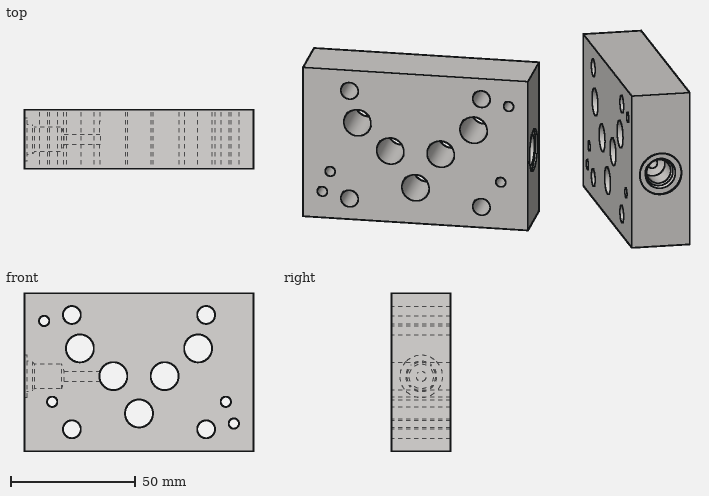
import cadquery as cq

LENGTH = 92.1
THICKNESS = 23.85
HEIGHT = 63.5

BOLT_DIAMETER = 7.1
BOLT_HALF_SPACING = 27.0
BOLT_TOP_Z = 23.0
BOLT_BOTTOM_Z = -22.9

FLOW_DIAMETER = 11.1
OUTER_FLOW_X = 23.8
OUTER_FLOW_Z = 9.6
INNER_FLOW_X = 10.3
INNER_FLOW_Z = -1.6
LOWER_FLOW_Z = -16.6

PIN_DIAMETER = 4.05
PIN_POSITIONS = [(-38.1, 20.6), (-34.9, -11.9), (34.9, -11.9), (38.1, -20.6)]

SPOTFACE_DIAMETER = 17.1
SPOTFACE_DEPTH = 0.8
SEAT_DIAMETER = 12.3
SEAT_BOTTOM_DIAMETER = 11.4
SEAT_DEPTH = 2.4
BORE_DIAMETER = 9.85
LEAD_IN_DEPTH = 0.7
BORE_DEPTH = 14.0
BORE_TIP_DEPTH = 1.0
FEED_DIAMETER = 4.05


def through_holes(points, diameter):
    """Cylinders along Y that cross the full thickness at (x, z) points."""
    return (
        cq.Workplane("XZ")
        .pushPoints(points)
        .circle(diameter / 2)
        .extrude(THICKNESS / 2, both=True)
    )


def side_port():
    """Revolved stepped port, from the -X face to the left inner flow passage."""
    face_x = -LENGTH / 2
    seat_start = face_x + SPOTFACE_DEPTH
    seat_end = seat_start + SEAT_DEPTH
    bore_start = seat_end + LEAD_IN_DEPTH
    bore_end = seat_start + BORE_DEPTH
    profile = [
        (face_x, 0),
        (face_x, SPOTFACE_DIAMETER / 2),
        (seat_start, SPOTFACE_DIAMETER / 2),
        (seat_start, SEAT_DIAMETER / 2),
        (seat_end, SEAT_BOTTOM_DIAMETER / 2),
        (bore_start, BORE_DIAMETER / 2),
        (bore_end, BORE_DIAMETER / 2),
        (bore_end + BORE_TIP_DEPTH, FEED_DIAMETER / 2),
        (-INNER_FLOW_X, FEED_DIAMETER / 2),
        (-INNER_FLOW_X, 0),
    ]
    port = cq.Workplane("XZ").polyline(profile).close().revolve(360, (0, 0), (1, 0))
    return port.translate((0, 0, INNER_FLOW_Z))


bolt_positions = [
    (x, z)
    for x in (-BOLT_HALF_SPACING, BOLT_HALF_SPACING)
    for z in (BOLT_BOTTOM_Z, BOLT_TOP_Z)
]
flow_positions = [(0, LOWER_FLOW_Z)]
for side in (-1, 1):
    flow_positions.append((side * OUTER_FLOW_X, OUTER_FLOW_Z))
    flow_positions.append((side * INNER_FLOW_X, INNER_FLOW_Z))

result = (
    cq.Workplane("XY")
    .box(LENGTH, THICKNESS, HEIGHT)
    .cut(through_holes(bolt_positions, BOLT_DIAMETER))
    .cut(through_holes(flow_positions, FLOW_DIAMETER))
    .cut(through_holes(PIN_POSITIONS, PIN_DIAMETER))
    .cut(side_port())
)